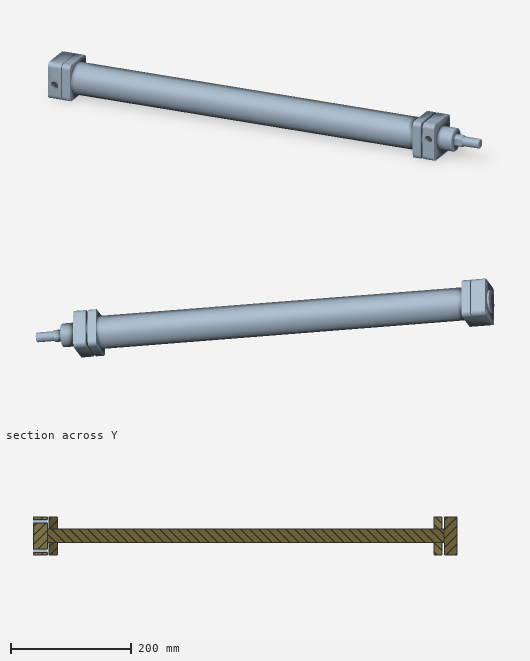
import cadquery as cq

OVERALL_LENGTH = 779.0
CAP_FACE = 3.0
CAP_END = 27.0
REAR_FLANGE_START = 29.0
REAR_FLANGE_END = 44.0
FRONT_FLANGE_START = 670.0
FRONT_FLANGE_END = 684.0
HEAD_START = 688.0
HEAD_END = 709.0
BOSS_END = 734.5
SHOULDER_END = 749.5

BLOCK_SIDE = 65.0
CORNER_RADIUS = 8.0

BARREL_DIAMETER = 55.0
BOSS_DIAMETER = 40.0
ROD_DIAMETER = 20.0
THREAD_DIAMETER = 16.0
FLATS_WIDTH = 17.0
EDGE_CHAMFER = 1.0
SHOULDER_CHAMFER = 1.5

PORT_DIAMETER = 13.0
PORT_DEPTH = 12.0
PORT_OFFSET = 6.0
REAR_PORT_X = (CAP_FACE + CAP_END) / 2
FRONT_PORT_X = (HEAD_START + HEAD_END) / 2
MOUNT_HOLE_DIAMETER = 5.5
MOUNT_HOLE_SPACING = 49.0


def cross_section(x):
    """Workplane normal to the axis at station x, local x along Y and local y along Z."""
    return cq.Workplane("YZ", origin=(x, 0, 0))


def square_block(start, end):
    block = cross_section(start).rect(BLOCK_SIDE, BLOCK_SIDE).extrude(end - start)
    return block.edges("|X").fillet(CORNER_RADIUS)


def cylinder(start, end, diameter):
    return cross_section(start).circle(diameter / 2).extrude(end - start)


def port(x, z):
    """Blind port bored from the -Y side."""
    front_face = cq.Workplane("XZ", origin=(x, -BLOCK_SIDE / 2, z))
    return front_face.circle(PORT_DIAMETER / 2).extrude(-PORT_DEPTH)


def make_end_cap():
    cap = square_block(CAP_FACE, CAP_END)
    cap = cap.union(cylinder(0, CAP_FACE, BOSS_DIAMETER))
    mount_holes = (
        cross_section(CAP_FACE)
        .rect(MOUNT_HOLE_SPACING, MOUNT_HOLE_SPACING, forConstruction=True)
        .vertices()
        .circle(MOUNT_HOLE_DIAMETER / 2)
        .extrude(CAP_END - CAP_FACE)
    )
    return cap.cut(mount_holes).cut(port(REAR_PORT_X, -PORT_OFFSET))


def make_barrel():
    return cylinder(CAP_END, HEAD_START, BARREL_DIAMETER)


def make_flange(start, end):
    """Square plate that fits around the barrel."""
    return square_block(start, end).cut(cylinder(start, end, BARREL_DIAMETER))


def make_head():
    boss = cylinder(HEAD_END, BOSS_END, BOSS_DIAMETER).faces(">X").edges().chamfer(EDGE_CHAMFER)
    head = square_block(HEAD_START, HEAD_END).union(boss)
    rod_bore = cylinder(HEAD_START, BOSS_END, ROD_DIAMETER)
    return head.cut(rod_bore).cut(port(FRONT_PORT_X, PORT_OFFSET))


def make_rod():
    """Rod from the barrel out through the head, with two flats on +Y and -Y before the thread."""
    body = cylinder(HEAD_START, SHOULDER_END, ROD_DIAMETER)
    body = body.faces(">X").edges().chamfer(SHOULDER_CHAMFER)
    exposed_length = SHOULDER_END - BOSS_END
    envelope = cross_section(BOSS_END).rect(ROD_DIAMETER, ROD_DIAMETER).extrude(exposed_length)
    between_flats = cross_section(BOSS_END).rect(FLATS_WIDTH, ROD_DIAMETER).extrude(exposed_length)
    outside_flats = envelope.cut(between_flats)
    thread = cylinder(SHOULDER_END, OVERALL_LENGTH, THREAD_DIAMETER)
    thread = thread.faces(">X").edges().chamfer(EDGE_CHAMFER)
    return body.cut(outside_flats).union(thread)


end_cap = make_end_cap()
barrel = make_barrel()
flange_spans = [(REAR_FLANGE_START, REAR_FLANGE_END), (FRONT_FLANGE_START, FRONT_FLANGE_END)]
flanges = [make_flange(start, end) for start, end in flange_spans]
head = make_head()
rod = make_rod()

result = cq.Compound.makeCompound(
    [end_cap.val(), barrel.val(), *[flange.val() for flange in flanges], head.val(), rod.val()]
)